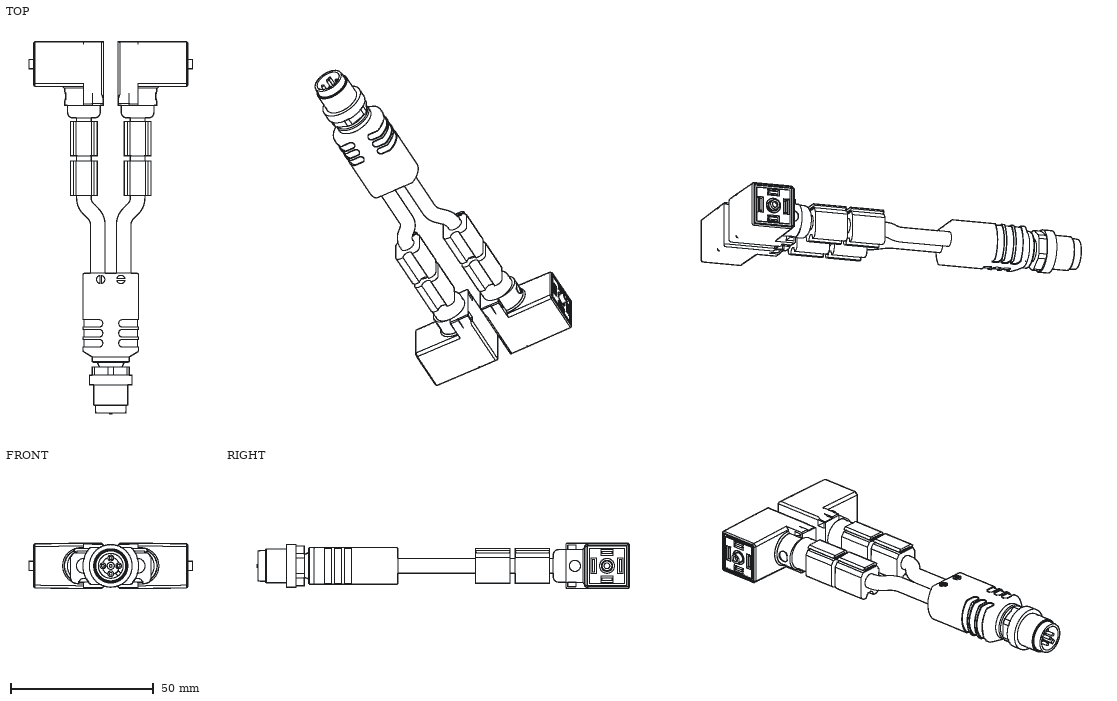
import cadquery as cq
import math


OVERLAP = 1.0

HALF_WIDTH = 57.3 / 2
CONTACT_FACE_X = 27.05
COVER_FACE_X = 2.47
COVER_SPLIT_X = 9.6
HOUSING_HEIGHT = 16.0
CONTACT_FACE_HEIGHT = 15.5
HOUSING_LENGTH = 15.7
COVER_LENGTH = 22.3
COVER_END_CHAMFER = 0.4
HOUSING_EDGE_RADIUS = 0.8
CONTACT_EDGE_CHAMFER = 0.45
NECK_EDGE_CHAMFER = 1.0

WINDOW_START = 18.8
WINDOW_LENGTH = 2.8
WINDOW_LOW_Z = 5.0
WINDOW_HIGH_Z = 7.25
LATCH_NOTCH_START = 18.2
LATCH_RAMP_END = 19.75
LATCH_FLOOR_Z = 7.5
LATCH_NOTCH_DEPTH_X = 4.0

CONTACT_CENTRE = HOUSING_LENGTH / 2
SEAL_GROOVE_OUTER = 13.8
SEAL_GROOVE_INNER = 12.3
SEAL_GROOVE_DEPTH = 0.5
SLOT_OFFSET = 4.7
SLOT_DEPTH = 1.5
SIDE_SLOT = (1.9, 5.5)
END_SLOT = (4.3, 2.2)
SIDE_BLADE = (0.6, 4.3)
END_BLADE = (3.4, 0.8)
PIN_DIA = 3.4
PIN_BORE_DIA = 2.0
PIN_BORE_DEPTH = 1.0
PIN_RECESS_DIA = 5.2
PIN_RECESS_DEPTH = 0.5
PIN_STEP_DIA = 3.9
PIN_STEP_HEIGHT = 0.3

OUTLET_CENTRE_X = 10.45
OUTLET_DIA = 11.5
OUTLET_END = 22.3
OUTLET_FLARE_DIA = 12.8
OUTLET_FLARE_LENGTH = 0.6
OUTLET_FLARE_CHAMFER = 0.54
BUTTON_DIA = 3.9
BUTTON_CENTRE = 19.1
BUTTON_DEPTH = 0.5
GLAND_DIA = 11.5
GLAND_END = 26.7
GLAND_ROUND = 1.9

CABLE_DIA = 5.2
CABLE_OUTER_X = 9.42
CABLE_INNER_X = 4.55
BEND_START = 54.7
BEND_END = 64.1
BEND_ANGLE = math.radians(45)

SLEEVE_SPANS = ((27.95, 40.0), (41.75, 53.95))
SLEEVE_WIDTH = 9.4
SLEEVE_HALF_HEIGHT = 6.15
SLEEVE_CORNER_RADIUS = 1.9
SLEEVE_SLIT_RADIUS = 1.8
SLEEVE_SIDE_TOP_Z = 2.95
LABEL_SEAT_HALF_WIDTH = 3.6
LABEL_SEAT_Z = 4.5
LABEL_ROOT_HALF_WIDTH = 2.4
LABEL_LIP_Z = 5.4
LABEL_TOP_HALF_WIDTH = 2.75
LABEL_END_GAP = 0.3
LABEL_GAP_TOP_Z = 5.2

BODY_START = 81.1
BODY_END = 110.7
BODY_WIDTH = 19.5
BODY_HEIGHT = 13.0
BODY_FLAT_HALF_WIDTH = 7.2
BODY_EDGE_RADIUS = 1.1
BODY_BACK_RADIUS = 0.6
SHOULDER_START = 108.5
SHOULDER_END_DIA = 12.2
SHOULDER_EDGE_RADIUS = 0.8
GRIP_SPANS = ((97.4, 99.9), (100.8, 103.4), (104.3, 106.9))
GRIP_INNER_X = 2.8
GRIP_DEPTH = 0.35
GRIP_CORNER_RADIUS = 1.15
LIGHT_X = 3.54
LIGHT_CENTRE = 83.3
LIGHT_DIA = 2.9
LIGHT_DEPTH = 0.3
LIGHT_BAR = 0.6

COLLAR_DIA = 13.0
COLLAR_END = 112.4
COLLAR_OVERLAP = 0.3
COLLAR_CHAMFER = 0.4
NECK_DIA = 9.4
NECK_END_DIA = 8.0
HEX_START = 113.9
HEX_FLATS = 13.0
HEX_ROUND_DIA = 14.1
FLANGE_START = 116.8
FLANGE_DIA = 15.0
BARREL_START = 120.2
BARREL_DIA = 12.0
BARREL_CHAMFER = 0.25
TIP_START = 127.45
TIP_DIA = 10.8
TIP_END = 130.15
TIP_LIP_DIA = 10.5
TIP_LIP_START = 129.3
TOTAL_LENGTH = 130.44
SOCKET_DIA = 8.7
SOCKET_DEPTH = 6.0
CONTACT_DIA = 1.0
CONTACT_COLLAR_DIA = 2.0
CONTACT_COLLAR_HEIGHT = 1.5
CONTACT_RING_RADIUS = 2.75
CONTACT_SETBACK = 1.0
CENTRE_COLLAR_DIA = 2.5
INSERT_DIA = 6.0
INSERT_HEIGHT = 0.5
KEY_WIDTH = 1.4
KEY_INNER_RADIUS = 3.2
KEY_ANGLE = 45


def box(x_span, station_span, z_span):
    """Box between two X values, two stations along the assembly and two Z values."""
    width = x_span[1] - x_span[0]
    length = station_span[1] - station_span[0]
    height = z_span[1] - z_span[0]
    return cq.Workplane("XY").box(width, length, height, centered=False).translate(
        (x_span[0], -station_span[1], z_span[0])
    )


def rod(x, z, start, end, dia):
    """Round rod along Y from one station to another."""
    return cq.Workplane("XZ", origin=(x, -start, z)).circle(dia / 2).extrude(end - start)


def turned(outline):
    """Body of revolution about the Y axis from (diameter, station) pairs."""
    points = [(dia / 2, -station) for dia, station in outline]
    return cq.Workplane("XY").polyline(points).close().revolve(360, (0, 0), (0, 1))


def contact_plane(depth=0.0):
    """Plane at the pin axis, facing -X, at a depth below the contact face; local axes are -Y and Z."""
    plane = cq.Plane(
        origin=(depth - CONTACT_FACE_X, -CONTACT_CENTRE, 0), xDir=(0, -1, 0), normal=(-1, 0, 0)
    )
    return cq.Workplane(plane)


def housing():
    half = HOUSING_HEIGHT / 2
    end_half = CONTACT_FACE_HEIGHT / 2
    side = [
        (-COVER_SPLIT_X, -half),
        (-COVER_SPLIT_X, half),
        (-CONTACT_FACE_X, end_half),
        (-CONTACT_FACE_X, -end_half),
    ]
    block = cq.Workplane("XZ").polyline(side).close().extrude(HOUSING_LENGTH)
    block = block.faces(">Y").edges("not |Z").fillet(HOUSING_EDGE_RADIUS)
    block = block.faces("<Y").edges("not |Z").chamfer(NECK_EDGE_CHAMFER)
    return block.faces("<X").edges().chamfer(CONTACT_EDGE_CHAMFER)


def cover():
    half = HOUSING_HEIGHT / 2
    plate = box((-COVER_SPLIT_X, -COVER_FACE_X), (0, COVER_LENGTH), (-half, half))
    plate = plate.edges("|Y and >X").chamfer(HOUSING_EDGE_RADIUS)
    plate = plate.edges("|X and >Y").fillet(HOUSING_EDGE_RADIUS)
    plate = plate.edges("|X and <Y").chamfer(COVER_END_CHAMFER)
    window_stations = (WINDOW_START, WINDOW_START + WINDOW_LENGTH)
    window = box((-COVER_SPLIT_X, -COVER_FACE_X), window_stations, (WINDOW_LOW_Z, WINDOW_HIGH_Z))
    notch_side = [
        (-LATCH_NOTCH_START, half),
        (-LATCH_RAMP_END, LATCH_FLOOR_Z),
        (-COVER_LENGTH, LATCH_FLOOR_Z),
        (-COVER_LENGTH, half),
    ]
    notch_plane = cq.Workplane("YZ", origin=(-COVER_FACE_X - LATCH_NOTCH_DEPTH_X, 0, 0))
    notch = notch_plane.polyline(notch_side).close().extrude(LATCH_NOTCH_DEPTH_X)
    latch = window.union(notch)
    return plate.cut(latch).cut(latch.mirror("XY"))


def outlet():
    """Round cable outlet joined to the cover, with a flared root, an indented button and the gland nut."""
    body = rod(-OUTLET_CENTRE_X, 0, HOUSING_LENGTH - NECK_EDGE_CHAMFER, OUTLET_END, OUTLET_DIA)
    radius = OUTLET_DIA / 2
    core_x = (-OUTLET_CENTRE_X, -COVER_SPLIT_X)
    body = body.union(box(core_x, (HOUSING_LENGTH - NECK_EDGE_CHAMFER, OUTLET_END), (-radius, radius)))
    flare_end = HOUSING_LENGTH + OUTLET_FLARE_LENGTH
    flare = rod(-OUTLET_CENTRE_X, 0, HOUSING_LENGTH - NECK_EDGE_CHAMFER, flare_end, OUTLET_FLARE_DIA)
    body = body.union(flare.faces("<Y").chamfer(OUTLET_FLARE_CHAMFER))
    button_floor = -OUTLET_CENTRE_X - radius + BUTTON_DEPTH
    button = cq.Workplane("YZ", origin=(button_floor, -BUTTON_CENTRE, 0)).circle(BUTTON_DIA / 2)
    body = body.cut(button.extrude(-OUTLET_DIA))
    gland = rod(-CABLE_OUTER_X, 0, OUTLET_END - OVERLAP, GLAND_END, GLAND_DIA)
    return body.union(gland.faces("<Y").edges().fillet(GLAND_ROUND))


def cut_contact_face(block):
    """Seal groove, four contact slots with blades, and the hollow centre pin in its recess."""
    groove = contact_plane(SEAL_GROOVE_DEPTH).rect(SEAL_GROOVE_OUTER, SEAL_GROOVE_OUTER)
    groove = groove.rect(SEAL_GROOVE_INNER, SEAL_GROOVE_INNER).extrude(SEAL_GROOVE_DEPTH)
    block = block.cut(groove)
    slots = (
        ((-SLOT_OFFSET, 0), SIDE_SLOT, SIDE_BLADE),
        ((SLOT_OFFSET, 0), SIDE_SLOT, SIDE_BLADE),
        ((0, SLOT_OFFSET), END_SLOT, END_BLADE),
        ((0, -SLOT_OFFSET), END_SLOT, END_BLADE),
    )
    for centre, slot, blade in slots:
        pocket = contact_plane(SLOT_DEPTH).center(*centre).rect(*slot).rect(*blade)
        block = block.cut(pocket.extrude(SLOT_DEPTH))
    block = block.cut(contact_plane(PIN_RECESS_DEPTH).circle(PIN_RECESS_DIA / 2).extrude(PIN_RECESS_DEPTH))
    step = contact_plane(PIN_RECESS_DEPTH).circle(PIN_STEP_DIA / 2).extrude(PIN_STEP_HEIGHT)
    pin_height = HALF_WIDTH - CONTACT_FACE_X
    pin = contact_plane(PIN_RECESS_DEPTH).circle(PIN_DIA / 2).extrude(PIN_RECESS_DEPTH + pin_height)
    bore = contact_plane(PIN_BORE_DEPTH - pin_height).circle(PIN_BORE_DIA / 2).extrude(PIN_BORE_DEPTH)
    return block.union(step).union(pin).cut(bore)


def sleeve(start, end):
    """Label sleeve with a dovetailed label on top and a round slit along the bottom."""
    half = SLEEVE_WIDTH / 2
    right_side = [
        (half, -SLEEVE_HALF_HEIGHT),
        (half, SLEEVE_SIDE_TOP_Z),
        (LABEL_SEAT_HALF_WIDTH, LABEL_SEAT_Z),
        (LABEL_ROOT_HALF_WIDTH, LABEL_SEAT_Z),
        (LABEL_SEAT_HALF_WIDTH, LABEL_LIP_Z),
        (LABEL_TOP_HALF_WIDTH, SLEEVE_HALF_HEIGHT),
    ]
    left_side = [(-x, z) for x, z in reversed(right_side)]
    profile = cq.Workplane("XZ", origin=(-CABLE_OUTER_X, -start, 0)).polyline(right_side + left_side)
    block = profile.close().extrude(end - start)
    block = block.edges("|Y and <Z").fillet(SLEEVE_CORNER_RADIUS)
    slit = rod(-CABLE_OUTER_X, -SLEEVE_HALF_HEIGHT, start, end, 2 * SLEEVE_SLIT_RADIUS)
    block = block.cut(slit)
    gap_x = (-CABLE_OUTER_X - LABEL_ROOT_HALF_WIDTH, -CABLE_OUTER_X + LABEL_ROOT_HALF_WIDTH)
    for gap in ((start, start + LABEL_END_GAP), (end - LABEL_END_GAP, end)):
        block = block.cut(box(gap_x, gap, (LABEL_SEAT_Z, LABEL_GAP_TOP_Z)))
    return block


def cable():
    """Cable swept along two straight ends joined by a double bend."""
    offset = CABLE_OUTER_X - CABLE_INNER_X
    run = BEND_END - BEND_START
    sine = math.sin(BEND_ANGLE)
    drop = 1 - math.cos(BEND_ANGLE)
    radius = (run * math.tan(BEND_ANGLE) - offset) / (2 * sine * math.tan(BEND_ANGLE) - 2 * drop)
    half_sine = math.sin(BEND_ANGLE / 2)
    half_drop = 1 - math.cos(BEND_ANGLE / 2)
    outer, inner = -CABLE_OUTER_X, -CABLE_INNER_X
    path = (
        cq.Workplane("XY")
        .moveTo(outer, -OUTLET_END)
        .lineTo(outer, -BEND_START)
        .threePointArc(
            (outer + radius * half_drop, -BEND_START - radius * half_sine),
            (outer + radius * drop, -BEND_START - radius * sine),
        )
        .lineTo(inner - radius * drop, -BEND_END + radius * sine)
        .threePointArc(
            (inner - radius * half_drop, -BEND_END + radius * half_sine),
            (inner, -BEND_END),
        )
        .lineTo(inner, -BODY_START - CABLE_DIA)
    )
    section = cq.Workplane("XZ", origin=(outer, -OUTLET_END, 0)).circle(CABLE_DIA / 2)
    return section.sweep(path)


def branch():
    """Everything on the -X side: valve plug, cable and label sleeves."""
    part = cut_contact_face(housing()).union(cover()).union(outlet()).union(cable())
    for start, end in SLEEVE_SPANS:
        part = part.union(sleeve(start, end))
    return part


def body_prism(inset=0.0):
    """Splitter body section with flat top and bottom and bowed sides, shrunk by an inset."""
    half_height = BODY_HEIGHT / 2 - inset
    half_width = BODY_WIDTH / 2 - inset
    flat = BODY_FLAT_HALF_WIDTH - inset
    section = (
        cq.Workplane("XZ", origin=(0, -BODY_START, 0))
        .moveTo(-flat, half_height)
        .lineTo(flat, half_height)
        .threePointArc((half_width, 0), (flat, -half_height))
        .lineTo(-flat, -half_height)
        .threePointArc((-half_width, 0), (-flat, half_height))
        .close()
    )
    return section.extrude(BODY_END - BODY_START).edges("|Y").fillet(BODY_EDGE_RADIUS)


def grip_recesses():
    """Shallow bands around both sides of the body, with rounded inner ends on top and bottom."""
    reach = BODY_WIDTH
    bands = cq.Workplane("XY")
    for start, end in GRIP_SPANS:
        for side in (-1, 1):
            x_span = sorted((side * GRIP_INNER_X, side * reach))
            band = box(x_span, (start, end), (-BODY_HEIGHT, BODY_HEIGHT))
            inner_edges = "|Z and >X" if side < 0 else "|Z and <X"
            bands = bands.union(band.edges(inner_edges).fillet(GRIP_CORNER_RADIUS))
    return bands.cut(body_prism(GRIP_DEPTH))


def indicator(x, bar_along_y):
    """Round recess in the top face, leaving a bar across it."""
    floor_z = BODY_HEIGHT / 2 - LIGHT_DEPTH
    floor_plane = cq.Workplane("XY", origin=(x, -LIGHT_CENTRE, floor_z))
    recess = floor_plane.circle(LIGHT_DIA / 2).extrude(LIGHT_DEPTH)
    size = (LIGHT_BAR, LIGHT_DIA) if bar_along_y else (LIGHT_DIA, LIGHT_BAR)
    bar = cq.Workplane("XY", origin=(x, -LIGHT_CENTRE, floor_z)).rect(*size).extrude(LIGHT_DEPTH)
    return recess.cut(bar)


def splitter_body():
    body = body_prism().faces(">Y").edges().fillet(BODY_BACK_RADIUS)
    wide = 2 * BODY_WIDTH
    shoulder = turned([
        (0, BODY_START),
        (wide, BODY_START),
        (wide, SHOULDER_START),
        (BODY_WIDTH, SHOULDER_START),
        (SHOULDER_END_DIA, BODY_END),
        (0, BODY_END),
    ])
    body = body.intersect(shoulder)
    body = body.edges("%HYPERBOLA").fillet(SHOULDER_EDGE_RADIUS)
    body = body.cut(grip_recesses())
    return body.cut(indicator(-LIGHT_X, True)).cut(indicator(LIGHT_X, False))


def round_plug():
    plug = turned([
        (0, BODY_END - COLLAR_OVERLAP),
        (COLLAR_DIA, BODY_END - COLLAR_OVERLAP),
        (COLLAR_DIA, COLLAR_END - COLLAR_CHAMFER),
        (COLLAR_DIA - 2 * COLLAR_CHAMFER, COLLAR_END),
        (NECK_DIA, COLLAR_END),
        (NECK_END_DIA, HEX_START),
        (NECK_END_DIA, FLANGE_START),
        (FLANGE_DIA, FLANGE_START),
        (FLANGE_DIA, BARREL_START),
        (BARREL_DIA, BARREL_START),
        (BARREL_DIA, TIP_START - BARREL_CHAMFER),
        (BARREL_DIA - 2 * BARREL_CHAMFER, TIP_START),
        (TIP_DIA, TIP_START),
        (TIP_DIA, TIP_LIP_START),
        (TIP_LIP_DIA, TIP_END),
        (0, TIP_END),
    ])
    hexagon = cq.Workplane("XZ", origin=(0, -HEX_START, 0)).polygon(6, HEX_FLATS, circumscribed=True)
    hexagon = hexagon.extrude(FLANGE_START - HEX_START)
    hexagon = hexagon.intersect(rod(0, 0, HEX_START, FLANGE_START, HEX_ROUND_DIA))
    floor = TIP_END - SOCKET_DEPTH
    plug = plug.union(hexagon).cut(rod(0, 0, floor, TIP_END, SOCKET_DIA))
    plug = plug.union(rod(0, 0, floor - OVERLAP, floor + INSERT_HEIGHT, INSERT_DIA))
    plug = plug.union(rod(0, 0, floor, TOTAL_LENGTH, CONTACT_DIA))
    plug = plug.union(rod(0, 0, floor, floor + CONTACT_COLLAR_HEIGHT, CENTRE_COLLAR_DIA))
    wall_middle_radius = (SOCKET_DIA + TIP_LIP_DIA) / 4
    key_x = (KEY_INNER_RADIUS, wall_middle_radius)
    key = box(key_x, (floor, TIP_END - CONTACT_SETBACK), (-KEY_WIDTH / 2, KEY_WIDTH / 2))
    plug = plug.union(key.rotate((0, 0, 0), (0, 1, 0), KEY_ANGLE))
    for quarter in range(4):
        angle = quarter * math.pi / 2
        x = CONTACT_RING_RADIUS * math.cos(angle)
        z = CONTACT_RING_RADIUS * math.sin(angle)
        plug = plug.union(rod(x, z, floor, TIP_END - CONTACT_SETBACK, CONTACT_DIA))
        plug = plug.union(rod(x, z, floor, floor + CONTACT_COLLAR_HEIGHT, CONTACT_COLLAR_DIA))
    return plug


left_branch = branch()
right_branch = left_branch.mirror("YZ")
result = splitter_body().union(round_plug()).union(left_branch).union(right_branch)